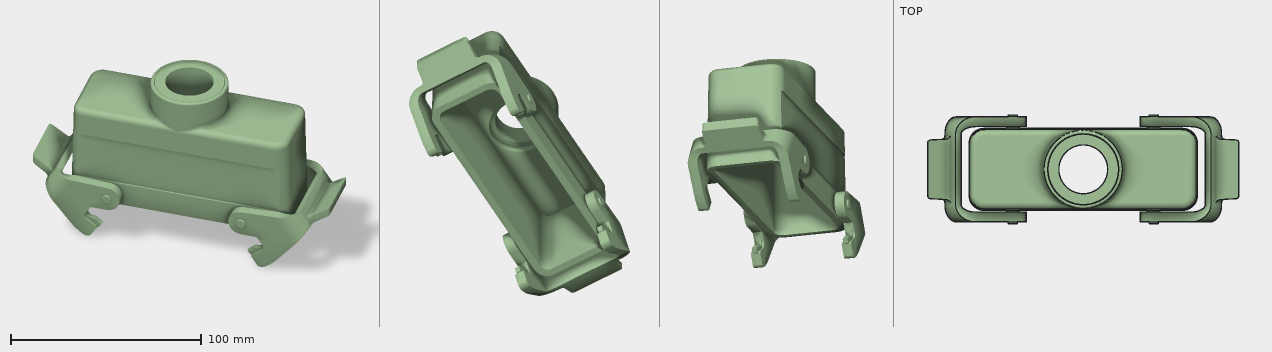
import cadquery as cq
import math

TOLERANCE = 0.02

HOOD_LENGTH = 120.0
HOOD_WIDTH = 43.2
HOOD_HEIGHT = 55.1
HOOD_CORNER_RADIUS = 8.0
HOOD_TOP_RADIUS = 3.1
SKIRT_HEIGHT = 13.4
DRAFT_ANGLE = 1.4
PANEL_DEPTH = 1.0
PANEL_TOP = 40.0
CAVITY_LENGTH = 112.8
CAVITY_WIDTH = 35.3
CAVITY_HEIGHT = 53.2
CAVITY_CORNER_RADIUS = 4.9

NECK_TOP = 71.1
NECK_DIAMETER = 41.0
NECK_BASE_RADIUS = 1.8
NECK_RIM_RADIUS = 1.0
SEAT_DIAMETER = 37.5
SEAT_DEPTH = 13.9
CABLE_PASSAGE_DIAMETER = 32.0
RING_DIAMETER = 37.0
RING_BORE_DIAMETER = 25.5
SEAT_BOTTOM = NECK_TOP - SEAT_DEPTH
NECK_ROOT_DEPTH = 4.9

PIVOT_X = 37.0
PIVOT_Z = 6.4
PIN_DIAMETER = 5.0
PIN_SPAN = 57.2
PIN_END_RADIUS = 0.4
SPACER_DIAMETER = 6.9

LEVER_WIDTH = 55.3
ARM_THICKNESS = 5.2
ARM_END_RADIUS = 7.0
WEB_THICKNESS = 3.6
WEB_TILT = 34.2
WEB_TOP_X = -67.0
WEB_TOP_Z = 14.7
WEB_HEIGHT = 10.1
BEND_RADIUS = 9.2
BEND_RISE = 5.7
BEND_DROP = 12.8
BEND_SECTIONS = 7
LEVER_INNER_WIDTH = LEVER_WIDTH - 2 * ARM_THICKNESS
WEB_WIDTH = LEVER_WIDTH - 2 * BEND_RADIUS

HEEL = (-56.6, -13.1)
TOE_LEFT = (-50.2, -18.6)
TOE_BOTTOM = (-48.0, -19.5)
TOE_RIGHT = (-46.1, -19.0)
HOOK_CORNER = (-42.5, -13.5)
HOOK_ROUND_MIDDLE = (-43.0, -12.6)
HOOK_ROUND_END = (-44.0, -11.8)
THROAT_LOWER = (-48.2, -8.7)
THROAT_BACK = (-49.2, -6.9)
THROAT_UPPER = (-48.9, -5.0)
THROAT_MOUTH = (-45.6, PIVOT_Z - ARM_END_RADIUS)

LIP_THICKNESS = ARM_THICKNESS / 2
LIP_START = (-46.8, -2.3)
LIP_UPPER = (-47.9, -4.7)
LIP_BACK = (-48.2, -6.5)
LIP_LOWER = (-47.1, -7.8)
LIP_CREST_MIDDLE = (-45.8, -8.3)
LIP_CREST_END = (-44.2, -8.3)
LIP_TIP = (-40.0, -11.5)
LIP_UNDERSIDE = (-41.7, -13.4)
LIP_ROOT_LOWER = (-48.2, -13.5)
LIP_ROOT_UPPER = (-50.7, -4.9)

HANDLE_END_X = -81.8
HANDLE_LENGTH = 16.4
HANDLE_THICKNESS = 3.8
HANDLE_ROOT_WIDTH = 32.0
HANDLE_END_WIDTH = 30.5
HANDLE_CORNER_RADIUS = 1.6
HANDLE_ROOT_RADIUS = 1.8

TILT = math.radians(WEB_TILT)
WEB_PLANE = cq.Plane(
    origin=(WEB_TOP_X, 0, WEB_TOP_Z),
    xDir=(-math.cos(TILT), 0, math.sin(TILT)),
    normal=(math.sin(TILT), 0, math.cos(TILT)),
)


def cylinder_z(diameter, bottom, top):
    return cq.Workplane("XY", origin=(0, 0, bottom)).circle(diameter / 2).extrude(top - bottom)


def cylinder_y(diameter, length, x):
    """Cylinder on a pivot axis, centred on Y = 0."""
    axis = cq.Workplane("XZ", origin=(x, 0, PIVOT_Z))
    return axis.circle(diameter / 2).extrude(length / 2, both=True)


def rounded_rectangle(length, width, radius):
    return cq.Sketch().rect(length, width).vertices().fillet(radius)


def make_hood_shell():
    outline = rounded_rectangle(HOOD_LENGTH, HOOD_WIDTH, HOOD_CORNER_RADIUS)
    skirt = cq.Workplane("XY").placeSketch(outline).extrude(SKIRT_HEIGHT)
    walls = (
        cq.Workplane("XY", origin=(0, 0, SKIRT_HEIGHT))
        .placeSketch(outline)
        .extrude(HOOD_HEIGHT - SKIRT_HEIGHT, taper=DRAFT_ANGLE)
        .faces(">Z").edges().fillet(HOOD_TOP_RADIUS)
    )
    return skirt.union(walls)


def make_neck():
    neck = cylinder_z(NECK_DIAMETER, HOOD_HEIGHT - NECK_ROOT_DEPTH, NECK_TOP)
    return neck.faces(">Z").edges().fillet(NECK_RIM_RADIUS)


def is_neck_base_edge(edge):
    """True where the neck cylinder meets the hood roof."""
    return all(
        abs(math.hypot(end.x, end.y) - NECK_DIAMETER / 2) < TOLERANCE and end.z < HOOD_HEIGHT + TOLERANCE
        for end in (edge.startPoint(), edge.endPoint())
    )


def make_panel_recess():
    """Cutter for the recess in the -Y wall, parallel to the drafted wall."""
    low_y = -HOOD_WIDTH / 2 + PANEL_DEPTH
    high_y = low_y + (PANEL_TOP - SKIRT_HEIGHT) * math.tan(math.radians(DRAFT_ANGLE))
    return (
        cq.Workplane("YZ")
        .polyline([
            (low_y, SKIRT_HEIGHT),
            (high_y, PANEL_TOP),
            (-HOOD_WIDTH, PANEL_TOP),
            (-HOOD_WIDTH, SKIRT_HEIGHT),
        ])
        .close()
        .extrude(HOOD_LENGTH / 2, both=True)
    )


def make_pivot(x):
    """Pins on both sides with a spacer collar between hood and lever arm."""
    pin = cylinder_y(PIN_DIAMETER, PIN_SPAN, x).faces("<Y or >Y").edges().fillet(PIN_END_RADIUS)
    return pin.union(cylinder_y(SPACER_DIAMETER, LEVER_INNER_WIDTH, x))


def make_cavity():
    """Open-bottomed interior with the cable passage and the ring seat above it."""
    outline = rounded_rectangle(CAVITY_LENGTH, CAVITY_WIDTH, CAVITY_CORNER_RADIUS)
    interior = cq.Workplane("XY").placeSketch(outline).extrude(CAVITY_HEIGHT)
    passage = cylinder_z(CABLE_PASSAGE_DIAMETER, 0, NECK_TOP)
    seat = cylinder_z(SEAT_DIAMETER, SEAT_BOTTOM, NECK_TOP)
    return interior.union(passage).union(seat)


def make_housing():
    housing = make_hood_shell().union(make_neck())
    housing = housing.edges().filter(is_neck_base_edge).fillet(NECK_BASE_RADIUS)
    recess = make_panel_recess()
    housing = housing.cut(recess).cut(recess.mirror("XZ"))
    for x in (-PIVOT_X, PIVOT_X):
        housing = housing.union(make_pivot(x))
    return housing.cut(make_cavity())


def make_ring():
    ring = cylinder_z(RING_DIAMETER, SEAT_BOTTOM, NECK_TOP)
    return ring.cut(cylinder_z(RING_BORE_DIAMETER, SEAT_BOTTOM, NECK_TOP))


def extrude_across(outline, width, y_centre):
    """Extrude a closed XZ outline along Y, centred on y_centre."""
    return outline.extrude(width / 2, both=True).translate((0, y_centre, 0))


def bend_line_point(height):
    """(X, Z) of a point where the flat arm meets the bend, at a height along the tilt."""
    point = WEB_PLANE.toWorldCoords((-BEND_RADIUS, 0, height))
    return point.x, point.z


def arm_end_tangent_point(start):
    """Point where a line from start touches the top of the round arm end."""
    dx = start[0] + PIVOT_X
    dz = start[1] - PIVOT_Z
    angle = math.atan2(dz, dx) - math.acos(ARM_END_RADIUS / math.hypot(dx, dz))
    return -PIVOT_X + ARM_END_RADIUS * math.cos(angle), PIVOT_Z + ARM_END_RADIUS * math.sin(angle)


def make_arm_outline():
    """Side outline of the flat arm with its hook."""
    bend_top = bend_line_point(BEND_RISE)
    arm_end_top = arm_end_tangent_point(bend_top)
    return (
        cq.Workplane("XZ")
        .moveTo(*arm_end_top)
        .lineTo(*bend_top)
        .lineTo(*bend_line_point(-BEND_DROP))
        .lineTo(*HEEL)
        .tangentArcPoint(TOE_LEFT, relative=False)
        .threePointArc(TOE_BOTTOM, TOE_RIGHT)
        .lineTo(*HOOK_CORNER)
        .threePointArc(HOOK_ROUND_MIDDLE, HOOK_ROUND_END)
        .lineTo(*THROAT_LOWER)
        .threePointArc(THROAT_BACK, THROAT_UPPER)
        .lineTo(*THROAT_MOUTH)
        .lineTo(-PIVOT_X, PIVOT_Z - ARM_END_RADIUS)
        .threePointArc((-PIVOT_X + ARM_END_RADIUS, PIVOT_Z), arm_end_top)
        .close()
    )


def make_lip_outline():
    """Side outline of the lip, rooted inside the arm."""
    return (
        cq.Workplane("XZ")
        .moveTo(*LIP_START)
        .lineTo(*LIP_UPPER)
        .threePointArc(LIP_BACK, LIP_LOWER)
        .threePointArc(LIP_CREST_MIDDLE, LIP_CREST_END)
        .lineTo(*LIP_TIP)
        .lineTo(*LIP_UNDERSIDE)
        .lineTo(*HOOK_CORNER)
        .lineTo(*LIP_ROOT_LOWER)
        .lineTo(*LIP_ROOT_UPPER)
        .close()
    )


def make_bend_section(side, angle):
    """Cross-section of the bend: angle 0 lies at the arm, a quarter turn at the web."""
    along = math.sin(angle)
    across = math.cos(angle)
    outer_x = -BEND_RADIUS + BEND_RADIUS * along
    outer_y = side * (WEB_WIDTH / 2 + BEND_RADIUS * across)
    inner_x = -BEND_RADIUS + (BEND_RADIUS - WEB_THICKNESS) * along
    inner_y = side * (WEB_WIDTH / 2 + (BEND_RADIUS - ARM_THICKNESS) * across)
    top = BEND_RISE * (1 - along)
    bottom = -BEND_DROP + (BEND_DROP - WEB_HEIGHT) * along
    corners = [
        (outer_x, outer_y, top),
        (inner_x, inner_y, top),
        (inner_x, inner_y, bottom),
        (outer_x, outer_y, bottom),
    ]
    return cq.Wire.makePolygon([WEB_PLANE.toWorldCoords(corner) for corner in corners], close=True)


def make_bend(side):
    """Curved corner between web and arm; its edges stay square to the sheet all the way round."""
    step = math.pi / 2 / (BEND_SECTIONS - 1)
    sections = [make_bend_section(side, i * step) for i in range(BEND_SECTIONS)]
    return cq.Workplane(cq.Solid.makeLoft(sections))


def make_handle():
    """Tapered plate square to the web, flush with its lower edge."""
    plate = (
        cq.Workplane(WEB_PLANE)
        .workplane(offset=-WEB_HEIGHT)
        .polyline([
            (-WEB_THICKNESS, -HANDLE_ROOT_WIDTH / 2),
            (HANDLE_LENGTH, -HANDLE_END_WIDTH / 2),
            (HANDLE_LENGTH, HANDLE_END_WIDTH / 2),
            (-WEB_THICKNESS, HANDLE_ROOT_WIDTH / 2),
        ])
        .close()
        .extrude(HANDLE_THICKNESS)
    )
    beyond_end = (
        cq.Workplane("YZ", origin=(HANDLE_END_X, 0, WEB_TOP_Z))
        .rect(LEVER_WIDTH, LEVER_WIDTH)
        .extrude(-HANDLE_LENGTH)
    )
    return plate.cut(beyond_end).faces("<X").edges("not |Y").fillet(HANDLE_CORNER_RADIUS)


def is_handle_root_edge(edge):
    """True for the top and side edges where the handle leaves the outer face of the web."""
    centre = WEB_PLANE.toLocalCoords(edge.Center())
    on_outer_face = abs(centre.x) < TOLERANCE
    inside_width = abs(centre.y) < WEB_WIDTH / 2 - TOLERANCE
    inside_height = -WEB_HEIGHT + TOLERANCE < centre.z < -TOLERANCE
    return on_outer_face and inside_width and inside_height


def make_web_with_handle():
    web = (
        cq.Workplane(WEB_PLANE)
        .center(-WEB_THICKNESS / 2, 0)
        .rect(WEB_THICKNESS, WEB_WIDTH)
        .extrude(-WEB_HEIGHT)
    )
    return web.union(make_handle()).edges().filter(is_handle_root_edge).fillet(HANDLE_ROOT_RADIUS)


def make_lever():
    lever = make_web_with_handle()
    for side in (-1, 1):
        arm_y = side * (LEVER_WIDTH - ARM_THICKNESS) / 2
        lever = lever.union(make_bend(side))
        lever = lever.union(extrude_across(make_arm_outline(), ARM_THICKNESS, arm_y))
        lever = lever.union(extrude_across(make_lip_outline(), LIP_THICKNESS, arm_y))
    return lever.cut(cylinder_y(PIN_DIAMETER, LEVER_WIDTH, -PIVOT_X))


housing = make_housing()
ring = make_ring()
levers = [make_lever().rotate((0, 0, 0), (0, 0, 1), turn) for turn in (0, 180)]

result = cq.Compound.makeCompound([housing.val(), ring.val(), *[lever.val() for lever in levers]])